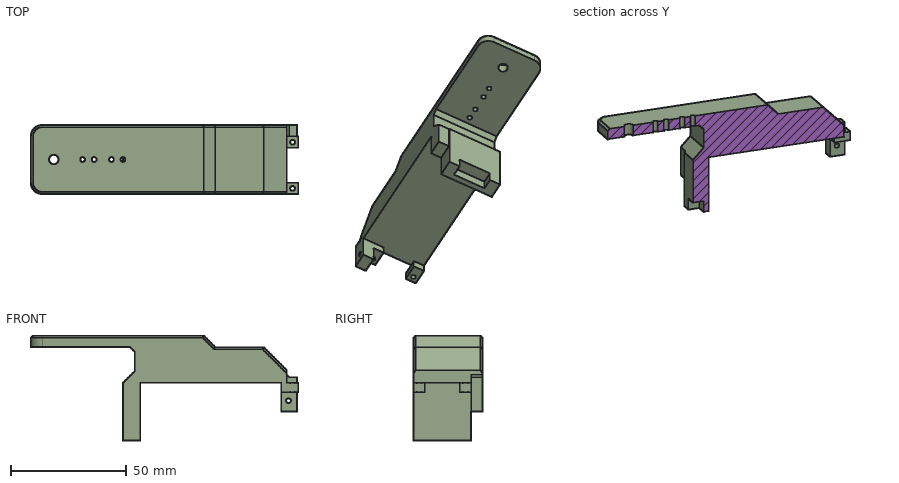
import cadquery as cq

width = 30.0
half_width = width / 2
plate_thickness = 5.0
corner_radius = 5.0
edge_chamfer = 1.0

body_start = 45.0
underside_chamfer = 2.0
step_start = 75.0
step_drop = 5.0
nose_start = 101.0
nose_length = 10.0
body_end = nose_start + nose_length
body_end_top = -step_drop - nose_length
body_bottom = -20.5

leg_front = 40.0
leg_thickness = 7.5
leg_back = leg_front + leg_thickness
leg_slope = body_start - leg_front
leg_bottom = -45.5
leg_inset = 5.0
notch_width = 15.0
notch_height = 5.0
notch_depth = 5.0

lug_start = 108.5
lug_end = 116.0
lug_width = 5.0
lug_thickness = 4.0
lug_bottom = body_bottom - lug_thickness
lug_y_starts = (-half_width, 5.0)
lug_hole_x = 113.5
lug_hole_diameter = 2.0

leg_tab_start = 40.5
nose_tab_start = lug_start
tab_length = 7.0
tab_width = leg_inset
tab_inner_y = half_width - tab_width
tab_top = -18.0
tab_bottom = -33.0
tab_hole_x = 111.75
tab_hole_z = -28.25
tab_hole_diameter = 2.0
nose_web_size = 1.0

large_hole_x = 10.0
large_hole_diameter = 4.0
small_hole_positions = (22.5, 27.5, 35.0, 40.0)
small_hole_diameter = 2.0


def box(x_range, y_range, z_range):
    """Box spanning the given (low, high) ranges."""
    size = [high - low for low, high in (x_range, y_range, z_range)]
    corner = (x_range[0], y_range[0], z_range[0])
    return cq.Workplane("XY").box(*size, centered=False).translate(corner)


def make_body():
    """Plate, body and leg as one side profile, with chamfered upper edges."""
    profile = [
        (0, 0),
        (step_start, 0),
        (step_start + step_drop, -step_drop),
        (nose_start, -step_drop),
        (body_end, body_end_top),
        (body_end, body_bottom),
        (leg_back, body_bottom),
        (leg_back, leg_bottom),
        (leg_front, leg_bottom),
        (leg_front, body_bottom),
        (body_start, body_bottom + leg_slope),
        (body_start, -plate_thickness - underside_chamfer),
        (body_start - underside_chamfer, -plate_thickness),
        (0, -plate_thickness),
    ]
    body = cq.Workplane("XZ").polyline(profile).close().extrude(half_width, both=True)
    body = body.edges("|Z and <X").fillet(corner_radius)
    top_faces = [
        face
        for face in body.faces().vals()
        if face.normalAt().z > 0.5 and face.Center().z > body_end_top
    ]
    side_edges = body.newObject(top_faces).edges("not |Y")
    end_edge = body.faces("<X").edges(">Z")
    return side_edges.add(end_edge).chamfer(edge_chamfer)


def cut_leg(body):
    """Narrow the leg on the +Y side and notch the front of its foot."""
    inset = box((leg_front, leg_back), (tab_inner_y, half_width), (leg_bottom, tab_top))
    notch_middle = (tab_inner_y - half_width) / 2
    notch = box(
        (leg_front, leg_front + notch_depth),
        (notch_middle - notch_width / 2, notch_middle + notch_width / 2),
        (leg_bottom, leg_bottom + notch_height),
    )
    return body.cut(inset).cut(notch)


def make_lug(y_start):
    """Flat lug under the nose end with a vertical screw hole."""
    lug = box((lug_start, lug_end), (y_start, y_start + lug_width), (lug_bottom, body_bottom))
    hole = (
        cq.Workplane("XY", origin=(lug_hole_x, y_start + lug_width / 2, lug_bottom))
        .circle(lug_hole_diameter / 2)
        .extrude(lug_thickness)
    )
    return lug.cut(hole)


def make_tab(x_start):
    """Upright block along the +Y side, reaching below the body."""
    return box((x_start, x_start + tab_length), (tab_inner_y, half_width), (tab_bottom, tab_top))


def make_leg_tab():
    """Tab beside the leg, its upper corner trimmed flush with the leg slope."""
    slope_x_at_tab_top = leg_front + (tab_top - body_bottom)
    trim = slope_x_at_tab_top - leg_tab_start
    return make_tab(leg_tab_start).edges("|Y and <X and >Z").chamfer(trim)


def make_nose_tab():
    """Tab at the nose with a cross hole and a small web in the corner above it."""
    hole = (
        cq.Workplane("XZ", origin=(tab_hole_x, half_width, tab_hole_z))
        .circle(tab_hole_diameter / 2)
        .extrude(tab_width)
    )
    web = (
        cq.Workplane("XZ", origin=(body_end, half_width, tab_top))
        .polyline([(0, 0), (nose_web_size, 0), (0, nose_web_size)])
        .close()
        .extrude(tab_width)
    )
    return make_tab(nose_tab_start).cut(hole).union(web)


def drill_plate(body):
    """Vertical holes along the middle of the plate."""
    large_hole = cq.Workplane("XY").center(large_hole_x, 0).circle(large_hole_diameter / 2)
    body = body.cut(large_hole.extrude(-plate_thickness))
    small_holes = (
        cq.Workplane("XY")
        .pushPoints([(x, 0) for x in small_hole_positions])
        .circle(small_hole_diameter / 2)
    )
    return body.cut(small_holes.extrude(-plate_thickness))


result = drill_plate(cut_leg(make_body()))
for lug_y in lug_y_starts:
    result = result.union(make_lug(lug_y))
result = result.union(make_leg_tab()).union(make_nose_tab())